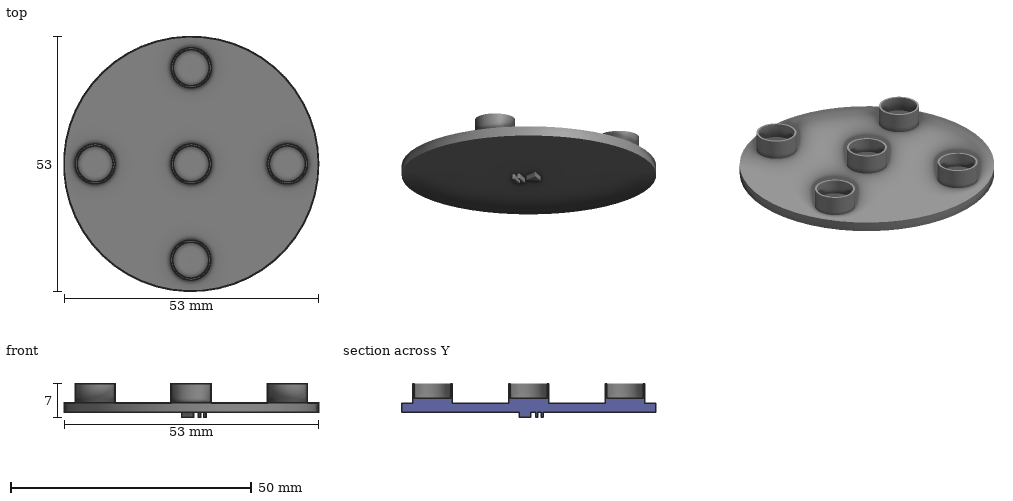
import cadquery as cq

plate_diameter = 53.0
plate_thickness = 2.0

cup_outer_diameter = 8.33
cup_inner_diameter = 7.5
cup_height = 4.0
cup_floor_height = 1.0
cup_offset = 20.0
minus_y_cup_shift = 0.1
cup_centers = [
    (0, 0),
    (cup_offset, 0),
    (-cup_offset, 0),
    (0, cup_offset),
    (-minus_y_cup_shift, -cup_offset),
]

symbol_height = 1.0
triangle_base_x = -2.0
triangle_length = 2.5
triangle_base_width = 3.2
bar_width = 0.5
bar_length = triangle_base_width
first_bar_x = 1.7
bar_pitch = 1.13
bar_count = 2


def make_plate():
    return cq.Workplane("XY").circle(plate_diameter / 2).extrude(-plate_thickness)


def make_cups():
    """Cylinders, each with a round blind pocket that leaves a thin wall and a floor."""
    cups = cq.Workplane("XY").pushPoints(cup_centers).circle(cup_outer_diameter / 2).extrude(cup_height)
    pockets = (
        cq.Workplane("XY", origin=(0, 0, cup_floor_height))
        .pushPoints(cup_centers)
        .circle(cup_inner_diameter / 2)
        .extrude(cup_height - cup_floor_height)
    )
    return cups.cut(pockets)


def underside(center_x):
    return cq.Workplane("XY", origin=(center_x, 0, -plate_thickness))


def make_triangle():
    corners = [
        (0, -triangle_base_width / 2),
        (triangle_length, 0),
        (0, triangle_base_width / 2),
    ]
    return underside(triangle_base_x).polyline(corners).close().extrude(-symbol_height)


def make_bar(center_x):
    return underside(center_x).rect(bar_width, bar_length).extrude(-symbol_height)


result = make_plate().union(make_cups()).union(make_triangle())
for index in range(bar_count):
    result = result.union(make_bar(first_bar_x + index * bar_pitch))